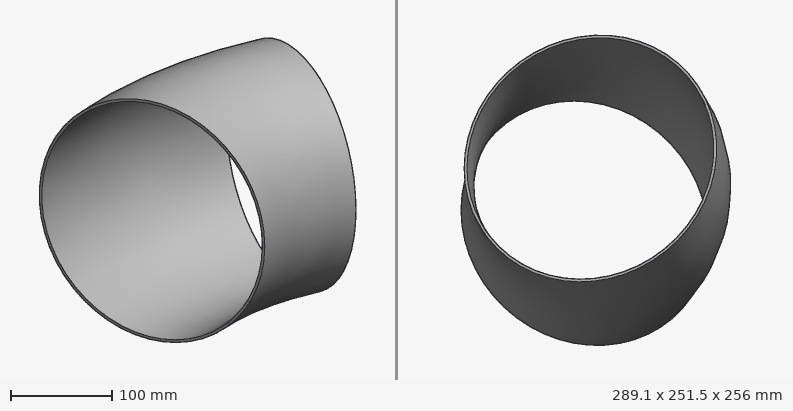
import cadquery as cq

outer_diameter = 256.0
wall_thickness = 3.0
bend_radius = 375.0
bend_angle = 30

inner_diameter = outer_diameter - 2 * wall_thickness

inlet_ring = cq.Workplane("XZ").circle(outer_diameter / 2).circle(inner_diameter / 2)

axis_top = (bend_radius, outer_diameter / 2)
axis_bottom = (bend_radius, -outer_diameter / 2)

result = inlet_ring.revolve(bend_angle, axis_top, axis_bottom)